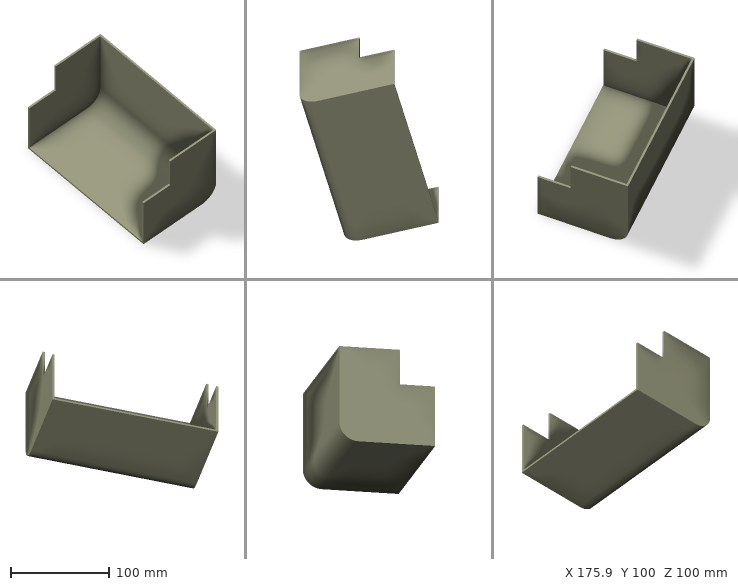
import cadquery as cq

length = 175.9
depth = 100.0
height = depth

wall = 2.3
arm = 63.3
outer_radius = 20.0
inner_radius = outer_radius - wall


def end_profile():
    """L-shaped end outline, with local x along Y and local y along Z."""
    return (
        cq.Workplane("YZ")
        .moveTo(0, 0)
        .lineTo(depth - outer_radius, 0)
        .radiusArc((depth, outer_radius), -outer_radius)
        .lineTo(depth, height)
        .lineTo(depth - arm, height)
        .lineTo(depth - arm, arm)
        .lineTo(0, arm)
        .close()
    )


def cavity():
    """Space between the end plates, open towards -Y and +Z."""
    inner_back = depth - wall
    return (
        cq.Workplane("YZ")
        .workplane(offset=wall)
        .moveTo(0, wall)
        .lineTo(inner_back - inner_radius, wall)
        .radiusArc((inner_back, wall + inner_radius), -inner_radius)
        .lineTo(inner_back, height)
        .lineTo(0, height)
        .close()
        .extrude(length - 2 * wall)
    )


result = end_profile().extrude(length).cut(cavity())